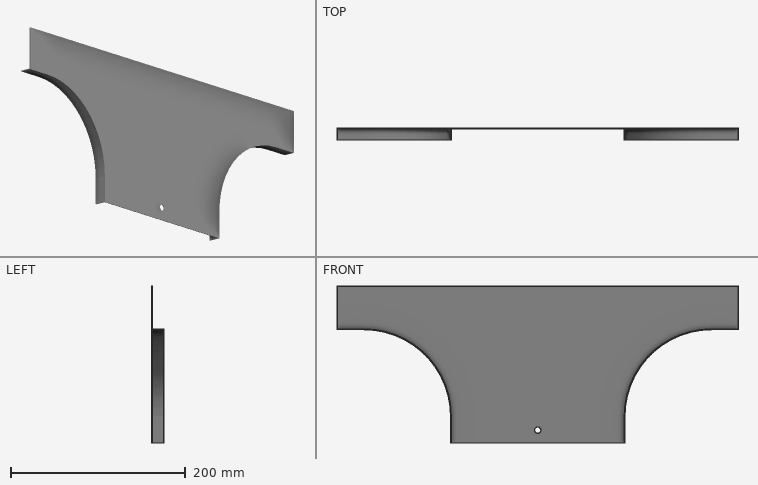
import cadquery as cq

length = 460.0
height = 180.0
depth = 14.0
sheet = 1.0
stem_width = 200.0
arm_height = 50.0
bend_radius = 100.0
hole_diameter = 7.0
hole_height = 15.0

half_length = length / 2
half_stem = stem_width / 2
arm_bottom = height - arm_height

base = cq.Workplane("XZ")


def corner_cutout(offset):
    """Open corner beside the stem on the +X side, grown by offset into the sheet."""
    side = half_stem - offset
    top = arm_bottom + offset
    radius = bend_radius - sheet + offset
    return (
        base.moveTo(side, 0)
        .lineTo(half_length, 0)
        .lineTo(half_length, top)
        .lineTo(side, top)
        .close()
        .extrude(depth)
        .edges(cq.selectors.NearestToPointSelector((side, -depth / 2, top)))
        .fillet(radius)
    )


def make_plate():
    blank = base.rect(length, height).extrude(sheet).translate((0, 0, height / 2))
    hole = base.center(0, hole_height).circle(hole_diameter / 2).extrude(sheet)
    return blank.cut(hole)


def make_flange():
    """Constant-thickness strip following the arm, bend and stem edge on the +X side."""
    return corner_cutout(sheet).cut(corner_cutout(0))


opening = corner_cutout(0)
flange = make_flange()
result = make_plate()
result = result.cut(opening).cut(opening.mirror("YZ"))
result = result.union(flange).union(flange.mirror("YZ"))